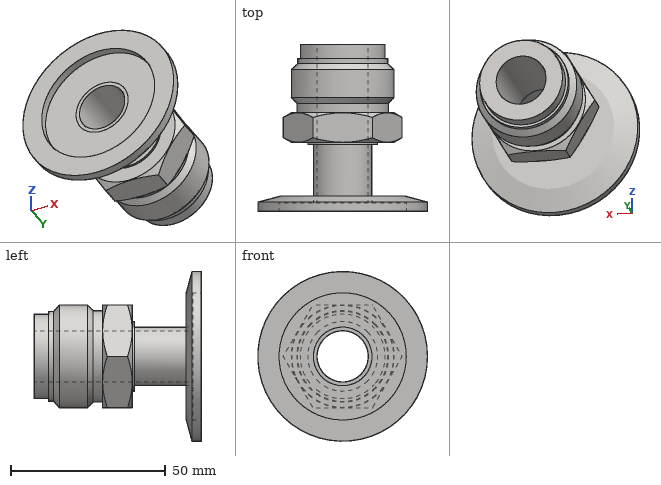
import cadquery as cq
import math

bore_diameter = 16.5
tube_diameter = 19.0

flange_diameter = 55.0
flange_rim_end = 3.0
flange_back = 5.0
flange_taper_angle = 15.0
recess_diameter = 41.2
recess_depth = 2.75

collar_start = 21.6
collar_diameter = 22.6
collar_end = 22.3
hex_across_flats = 33.35
hex_end = 32.0
neck_diameter = 29.7
neck_end = 35.0
barrel_diameter = 33.35
barrel_start = 36.85
barrel_end = 45.9
shoulder_diameter = 29.2
shoulder_start = 47.8
shoulder_end = 49.45
spigot_diameter = 27.45
fitting_end = 54.05

hex_chamfer_angle = 30.0
hex_face_diameter = 33.0


def cylinder(diameter, start, end):
    """Solid cylinder on the Y axis between two Y positions."""
    return cq.Workplane("XZ", origin=(0, start, 0)).circle(diameter / 2).extrude(start - end)


def revolve_profile(points):
    """Solid of revolution about Y from (radius, Y) points."""
    return cq.Workplane("XY").polyline(points).close().revolve(360, (0, 0, 0), (0, 1, 0))


def make_flange():
    """Clamp flange with a tapered back, a front recess and a hole for the tube."""
    rim_radius = flange_diameter / 2
    taper_inset = (flange_back - flange_rim_end) / math.tan(math.radians(flange_taper_angle))
    disc = revolve_profile([
        (0, 0),
        (rim_radius, 0),
        (rim_radius, flange_rim_end),
        (rim_radius - taper_inset, flange_back),
        (0, flange_back),
    ])
    recess = cylinder(recess_diameter, 0, recess_depth)
    tube_hole = cylinder(tube_diameter, 0, flange_back)
    return disc.cut(recess).cut(tube_hole)


def make_tube():
    """Tube from the floor of the flange recess to the collar of the fitting."""
    outside = cylinder(tube_diameter, recess_depth, collar_start)
    return outside.cut(cylinder(bore_diameter, recess_depth, collar_start))


def make_hexagon():
    """Hexagon with corners on +X and -X, chamfered at both ends."""
    corner_diameter = hex_across_flats / math.cos(math.radians(30))
    prism = (
        cq.Workplane("XZ", origin=(0, collar_end, 0))
        .polygon(6, corner_diameter)
        .extrude(collar_end - hex_end)
    )
    face_radius = hex_face_diameter / 2
    corner_radius = corner_diameter / 2
    chamfer_depth = (corner_radius - face_radius) * math.tan(math.radians(hex_chamfer_angle))
    chamfer_envelope = revolve_profile([
        (0, collar_end),
        (face_radius, collar_end),
        (corner_radius, collar_end + chamfer_depth),
        (corner_radius, hex_end - chamfer_depth),
        (face_radius, hex_end),
        (0, hex_end),
    ])
    return prism.intersect(chamfer_envelope)


def make_fitting():
    """Hexagon fitting with a front collar, a bevelled barrel and a rear spigot."""
    barrel = revolve_profile([
        (0, neck_end),
        (neck_diameter / 2, neck_end),
        (barrel_diameter / 2, barrel_start),
        (barrel_diameter / 2, barrel_end),
        (shoulder_diameter / 2, shoulder_start),
        (0, shoulder_start),
    ])
    return (
        cylinder(collar_diameter, collar_start, collar_end)
        .union(make_hexagon())
        .union(cylinder(neck_diameter, hex_end, neck_end))
        .union(barrel)
        .union(cylinder(shoulder_diameter, shoulder_start, shoulder_end))
        .union(cylinder(spigot_diameter, shoulder_end, fitting_end))
        .cut(cylinder(bore_diameter, collar_start, fitting_end))
    )


flange = make_flange()
tube = make_tube()
fitting = make_fitting()

result = cq.Compound.makeCompound([flange.val(), tube.val(), fitting.val()])